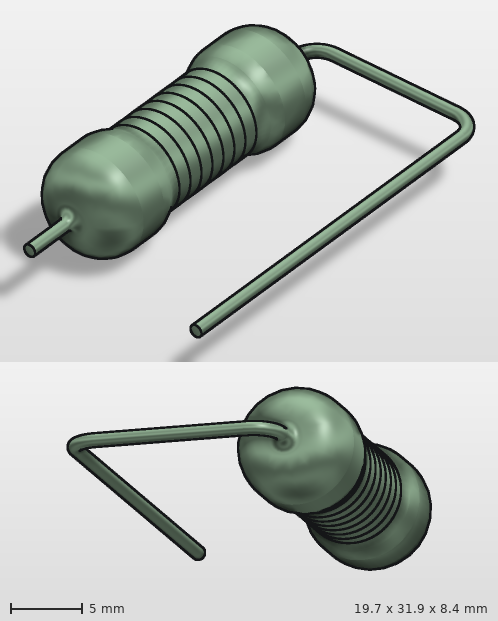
import cadquery as cq


lead_diameter = 1.0
lead_pitch = 15.0
bend_radius = 2.0
overall_length = 31.9
lead_radius = lead_diameter / 2
crossbar_y = overall_length - lead_radius
bend_y = crossbar_y - bend_radius

body_middle_y = 16.5
body_length = 23.8
cap_diameter = 8.4
waist_diameter = 7.14
band_diameter = 7.16
band_count = 7
band_width = 1.22
dome_radius = 2.9
half_length = body_length / 2
cap_radius = cap_diameter / 2
waist_radius = waist_diameter / 2

shoulder_length = 2 * band_width
shoulder_rise = cap_radius - waist_radius
shoulder_start = band_count * band_width / 2
shoulder_end = shoulder_start + shoulder_length
shoulder_arc_radius = (shoulder_length**2 + shoulder_rise**2) / (4 * shoulder_rise)

neck_radius = cap_radius - dome_radius - lead_radius


def make_body_end():
    """The +Y end of the body, from its shoulder to the tip of its neck, revolved about Y."""
    shoulder_middle = (waist_radius + shoulder_rise / 2, shoulder_start + shoulder_length / 2)
    profile = (
        cq.Workplane("XY")
        .moveTo(0, shoulder_start)
        .lineTo(waist_radius, shoulder_start)
        .radiusArc(shoulder_middle, shoulder_arc_radius)
        .radiusArc((cap_radius, shoulder_end), -shoulder_arc_radius)
        .lineTo(cap_radius, half_length - dome_radius)
        .radiusArc((cap_radius - dome_radius, half_length), -dome_radius)
        .radiusArc((lead_radius, half_length + neck_radius), neck_radius)
        .lineTo(0, half_length + neck_radius)
        .close()
    )
    return profile.revolve(360, (0, 0, 0), (0, 1, 0))


def make_band(index):
    """One colour band of the waist, numbered from the -Y shoulder; even ones are slightly raised."""
    diameter = band_diameter if index % 2 == 0 else waist_diameter
    start_y = index * band_width - shoulder_start
    return cq.Workplane("XZ", origin=(0, start_y, 0)).circle(diameter / 2).extrude(-band_width)


def make_body():
    body_end = make_body_end()
    body = body_end
    for index in reversed(range(band_count)):
        body = body.union(make_band(index))
    body = body.union(body_end.mirror("XZ"))
    return body.translate((0, body_middle_y, 0))


def make_near_lead():
    """Short straight lead from the -Y end of the body."""
    length = body_middle_y - half_length
    return cq.Workplane("XZ").circle(lead_radius).extrude(-length)


def make_far_lead():
    """Lead from the +Y end of the body, folded back through two right-angle bends."""
    start_y = body_middle_y + half_length
    path = (
        cq.Workplane("XY")
        .moveTo(0, start_y)
        .lineTo(0, bend_y)
        .radiusArc((bend_radius, crossbar_y), bend_radius)
        .lineTo(lead_pitch - bend_radius, crossbar_y)
        .radiusArc((lead_pitch, bend_y), bend_radius)
        .lineTo(lead_pitch, 0)
    )
    return cq.Workplane("XZ", origin=(0, start_y, 0)).circle(lead_radius).sweep(path)


result = make_body().union(make_near_lead()).union(make_far_lead())